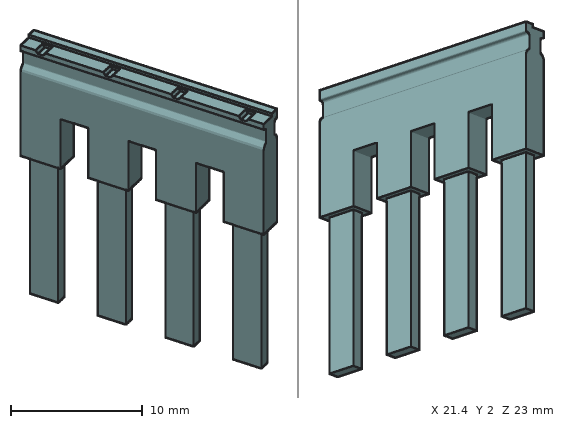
import cadquery as cq
import math

HEIGHT = 23.02
THICKNESS = 2.0
POLE_COUNT = 4
POLE_PITCH = 5.95
TOOTH_WIDTH = 3.52
LENGTH = (POLE_COUNT - 1) * POLE_PITCH + TOOTH_WIDTH

BODY_BOTTOM = HEIGHT - 10.34
SLOT_TOP = HEIGHT - 5.8
SLOT_WIDTH = POLE_PITCH - TOOTH_WIDTH
SLOT_FILLET = 0.1

LEG_WIDTH = 2.49
LEG_THICKNESS = 0.95

RIDGE_THICKNESS = 0.75
STEP_DEPTH = 0.25
HEAD_BOTTOM = HEIGHT - 0.83
LIP_RADIUS = 0.14
NECK_DEPTH = 0.37
NECK_FILLET = NECK_DEPTH - LIP_RADIUS
FOOT_FILLET = 0.15
SHOULDER_RADIUS = 0.6
SHOULDER_BOTTOM = HEIGHT - 2.7

NOTCH_TOP_WIDTH = 0.85
NOTCH_BOTTOM_WIDTH = 0.44
NOTCH_DEPTH = 0.25
NOTCH_LENGTH = 1.04

FRONT = -THICKNESS / 2
BACK = THICKNESS / 2
LEDGE = HEIGHT - STEP_DEPTH


def spaced_centres(count):
    """X positions of a centred row at the pole pitch."""
    return [(i - (count - 1) / 2) * POLE_PITCH for i in range(count)]


def make_blank():
    """Body with a plain rectangular section, stepped along the top."""
    outline = [
        (FRONT, BODY_BOTTOM),
        (BACK, BODY_BOTTOM),
        (BACK, HEIGHT),
        (BACK - RIDGE_THICKNESS, HEIGHT),
        (BACK - RIDGE_THICKNESS, LEDGE),
        (FRONT, LEDGE),
    ]
    return cq.Workplane("YZ").polyline(outline).close().extrude(LENGTH / 2, both=True)


def make_neck_groove():
    """Front groove: rounded lip above, rounded shoulder below, filleted to the neck."""
    neck = FRONT + NECK_DEPTH
    lip_inner = FRONT + LIP_RADIUS
    diagonal = math.sqrt(0.5)

    shoulder_y = FRONT + SHOULDER_RADIUS
    fillet_y = neck - FOOT_FILLET
    centre_distance = SHOULDER_RADIUS + FOOT_FILLET
    centre_rise = math.sqrt(centre_distance**2 - (shoulder_y - fillet_y) ** 2)
    neck_bottom = SHOULDER_BOTTOM + centre_rise
    touch_angle = math.atan2(centre_rise, fillet_y - shoulder_y)

    def on_shoulder(angle):
        return (
            shoulder_y + SHOULDER_RADIUS * math.cos(angle),
            SHOULDER_BOTTOM + SHOULDER_RADIUS * math.sin(angle),
        )

    fillet_middle_angle = (touch_angle - math.pi) / 2
    fillet_middle = (
        fillet_y + FOOT_FILLET * math.cos(fillet_middle_angle),
        neck_bottom + FOOT_FILLET * math.sin(fillet_middle_angle),
    )
    lip_middle = (
        lip_inner - LIP_RADIUS * diagonal,
        HEAD_BOTTOM + LIP_RADIUS * (1 - diagonal),
    )
    upper_fillet_middle = (
        lip_inner + NECK_FILLET * diagonal,
        HEAD_BOTTOM - NECK_FILLET * (1 - diagonal),
    )
    return (
        cq.Workplane("YZ")
        .moveTo(FRONT, HEAD_BOTTOM + LIP_RADIUS)
        .threePointArc(lip_middle, (lip_inner, HEAD_BOTTOM))
        .threePointArc(upper_fillet_middle, (neck, HEAD_BOTTOM - NECK_FILLET))
        .lineTo(neck, neck_bottom)
        .threePointArc(fillet_middle, on_shoulder(touch_angle))
        .threePointArc(on_shoulder((touch_angle + math.pi) / 2), (FRONT, SHOULDER_BOTTOM))
        .close()
        .extrude(LENGTH / 2, both=True)
    )


def make_slot(x):
    """Gap between two neighbouring teeth, with small fillets at its closed end."""
    return (
        cq.Workplane("XY", origin=(x, 0, BODY_BOTTOM))
        .rect(SLOT_WIDTH, THICKNESS)
        .extrude(SLOT_TOP - BODY_BOTTOM)
        .edges("|Y and >Z")
        .fillet(SLOT_FILLET)
    )


def make_notch(x):
    """Tapered notch, open at the top and front of the ledge."""
    outline = [
        (-NOTCH_TOP_WIDTH / 2, 0),
        (-NOTCH_BOTTOM_WIDTH / 2, -NOTCH_DEPTH),
        (NOTCH_BOTTOM_WIDTH / 2, -NOTCH_DEPTH),
        (NOTCH_TOP_WIDTH / 2, 0),
    ]
    return (
        cq.Workplane("XZ", origin=(x, FRONT, LEDGE))
        .polyline(outline)
        .close()
        .extrude(-NOTCH_LENGTH)
    )


def make_leg(x):
    """Straight rectangular leg below one tooth."""
    return (
        cq.Workplane("XY", origin=(x, 0, 0))
        .rect(LEG_WIDTH, LEG_THICKNESS)
        .extrude(BODY_BOTTOM)
    )


groove = make_neck_groove()
result = make_blank().cut(groove).cut(groove.mirror("XZ"))
for slot_x in spaced_centres(POLE_COUNT - 1):
    result = result.cut(make_slot(slot_x))
for pole_x in spaced_centres(POLE_COUNT):
    result = result.cut(make_notch(pole_x)).union(make_leg(pole_x))